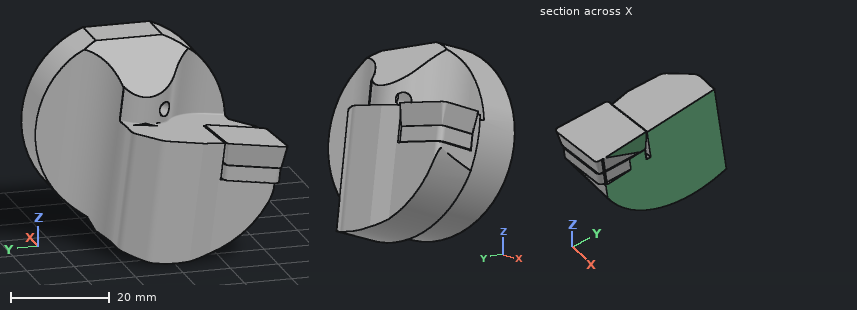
import cadquery as cq
import math

SEAT_TILT = 7.0
FAR = 56.4

DISC_RADIUS = 20.0
DISC_FACE_X = -10.1
FLAT_Z = 18.75
SLOPE_START_X = -9.2
LOBE_RADIUS = 23.15
LOBE_OFFSET_Y = -3.05
CONE_END_X = -12.7
HEAD_LENGTH = 32.9

BACK_Y = 4.2
BACK_FLUTE_RADIUS = 10.45
BEVEL_START = (-24.55, BACK_Y)
BEVEL_END = (-29.6, -1.15)
BEVEL_ROUND_RADIUS = 2.73
PEAK = (-30.45, -9.25)
WAIST = (-29.85, -13.55)
FRONT_CORNER = (-30.93, -25.47)
FRONT_CORNER_RADIUS = 0.95

SEAT_Z = 3.1
WALL_TIP_X = -19.0
WALL_NOSE_RADIUS = 7.0
WALL_NOSE_END_ANGLE = 135.0
WALL_HOLLOW_RADIUS = 10.15
WALL_HOLLOW_END_Y = -15.28
WALL_ROOT_RADIUS = 0.4

HOLE_DIAMETER = 3.0
HOLE_MOUTH = (-17.5, -4.4, 6.25)
HOLE_ANGLE = 58.0
HOLE_RISE = 10.0
HOLE_DEPTH = 8.0

INSERT_SIDE = 12.9
INSERT_ANGLE = 80.0
INSERT_LEAD = 5.0
INSERT_NOSE_RADIUS = 0.8
INSERT_NOSE_CENTRE = (-31.2, -26.0)
INSERT_TOP_Z = 3.4
INSERT_THICKNESS = 4.75
INSERT_RELIEF = 9.0
SHIM_THICKNESS = 3.2
SHIM_INSET = 0.5
SHIM_CORNER_RADIUS = 1.18

INSERT_BOTTOM_Z = INSERT_TOP_Z - INSERT_THICKNESS
POCKET_Z = INSERT_BOTTOM_Z - SHIM_THICKNESS


def tilted(work):
    """Turn a shape from the seat frame into the head's frame."""
    return work.rotate((0, 0, 0), (1, 0, 0), SEAT_TILT)


def polar(centre, radius, degrees):
    angle = math.radians(degrees)
    return (centre[0] + radius * math.cos(angle), centre[1] + radius * math.sin(angle))


def x_cylinder(radius, length, centre_y=0.0):
    return cq.Workplane("YZ").center(centre_y, 0).circle(radius).extrude(-length)


def slab_below(z):
    return cq.Workplane("XY").workplane(offset=z).rect(2 * FAR, 2 * FAR).extrude(-FAR)


def make_blank():
    """Disc joined to the offset lobe, which a coaxial cone blends into it."""
    cone = (
        cq.Workplane("XY")
        .moveTo(CONE_END_X, 0)
        .lineTo(CONE_END_X, DISC_RADIUS)
        .lineTo(-HEAD_LENGTH, DISC_RADIUS + HEAD_LENGTH + CONE_END_X)
        .lineTo(-HEAD_LENGTH, 0)
        .close()
        .revolve(360, (0, 0, 0), (1, 0, 0))
    )
    lobe = x_cylinder(LOBE_RADIUS, HEAD_LENGTH, LOBE_OFFSET_Y)
    lobe = lobe.intersect(cone).intersect(tilted(slab_below(SEAT_Z)))
    disc = x_cylinder(DISC_RADIUS, -WALL_TIP_X).cut(top_trim())
    return disc.union(lobe)


def head_outline():
    """Prism that gives the head its back flute, bevel and front walls."""
    flute_centre = (DISC_FACE_X - BACK_FLUTE_RADIUS, BACK_Y + BACK_FLUTE_RADIUS)
    front_rise = math.tan(math.radians(INSERT_LEAD)) * -FRONT_CORNER[0]
    prism = (
        cq.Workplane("XY")
        .workplane(offset=-FAR)
        .moveTo(0, FAR)
        .lineTo(DISC_FACE_X, FAR)
        .lineTo(DISC_FACE_X, flute_centre[1])
        .threePointArc(polar(flute_centre, BACK_FLUTE_RADIUS, -45), (flute_centre[0], BACK_Y))
        .lineTo(*BEVEL_START)
        .lineTo(*BEVEL_END)
        .lineTo(*PEAK)
        .lineTo(*WAIST)
        .lineTo(*FRONT_CORNER)
        .lineTo(0, FRONT_CORNER[1] + front_rise)
        .close()
        .extrude(2 * FAR)
    )

    def edge_at(point):
        return cq.selectors.NearestToPointSelector((point[0], point[1], 0))

    for corner in (BEVEL_START, BEVEL_END):
        prism = prism.edges("|Z").edges(edge_at(corner)).fillet(BEVEL_ROUND_RADIUS)
    prism = prism.edges("|Z").edges(edge_at(FRONT_CORNER)).fillet(FRONT_CORNER_RADIUS)
    return tilted(prism)


def chip_space():
    """Space over the seat face, in front of the S-shaped chip wall."""
    radii = WALL_NOSE_RADIUS + WALL_HOLLOW_RADIUS
    turn = math.degrees(math.acos(1 - (DISC_FACE_X - WALL_TIP_X) / radii))
    hollow = (DISC_FACE_X - WALL_HOLLOW_RADIUS, WALL_HOLLOW_END_Y)
    nose = polar(hollow, radii, turn)
    nose_end = polar(nose, WALL_NOSE_RADIUS, WALL_NOSE_END_ANGLE)
    return tilted(
        cq.Workplane("XY")
        .workplane(offset=SEAT_Z)
        .moveTo(-FAR, -FAR)
        .lineTo(DISC_FACE_X, -FAR)
        .lineTo(DISC_FACE_X, WALL_HOLLOW_END_Y)
        .threePointArc(
            polar(hollow, WALL_HOLLOW_RADIUS, turn / 2),
            polar(hollow, WALL_HOLLOW_RADIUS, turn),
        )
        .threePointArc(polar(nose, WALL_NOSE_RADIUS, 180), nose_end)
        .lineTo(-FAR, nose_end[1])
        .close()
        .extrude(FAR)
        .faces("<Z")
        .edges()
        .fillet(WALL_ROOT_RADIUS)
    )


def top_trim():
    """Everything over the top flat and the 45 degree slope."""
    return (
        cq.Workplane("XZ")
        .moveTo(FAR, FLAT_Z)
        .lineTo(SLOPE_START_X, FLAT_Z)
        .lineTo(SLOPE_START_X - FAR, FLAT_Z - FAR)
        .lineTo(SLOPE_START_X - FAR, FAR)
        .lineTo(FAR, FAR)
        .close()
        .extrude(FAR, both=True)
    )


def coolant_hole():
    """Blind hole that rises into the chip wall and aims at the cutting nose."""
    run = polar((0, 0), math.cos(math.radians(HOLE_RISE)), HOLE_ANGLE)
    direction = cq.Vector(run[0], run[1], math.sin(math.radians(HOLE_RISE)))
    mouth = cq.Vector(*HOLE_MOUTH)
    start = mouth - direction * HOLE_DIAMETER
    hole = cq.Solid.makeCylinder(HOLE_DIAMETER / 2, HOLE_DIAMETER + HOLE_DEPTH, start, direction)
    return tilted(cq.Workplane(hole))


def rhombus(z):
    """Sharp-cornered insert outline, starting from the cutting nose."""
    half_angle = INSERT_ANGLE / 2
    bisector = INSERT_LEAD + half_angle
    nose_reach = INSERT_NOSE_RADIUS / math.sin(math.radians(half_angle))
    nose = polar(INSERT_NOSE_CENTRE, -nose_reach, bisector)
    right = polar(nose, INSERT_SIDE, INSERT_LEAD)
    left = polar(nose, INSERT_SIDE, INSERT_LEAD + INSERT_ANGLE)
    far = polar(right, INSERT_SIDE, INSERT_LEAD + INSERT_ANGLE)
    return cq.Workplane("XY").workplane(offset=z).polyline([nose, right, far, left]).close()


def make_pocket():
    return tilted(rhombus(POCKET_Z).extrude(FAR))


def make_shim():
    shim = rhombus(POCKET_Z).offset2D(-SHIM_INSET).extrude(SHIM_THICKNESS)
    return tilted(shim.edges("|Z").fillet(SHIM_CORNER_RADIUS))


def make_insert():
    rounded = rhombus(0).extrude(-INSERT_THICKNESS).edges("|Z").fillet(INSERT_NOSE_RADIUS)
    top_wire = rounded.faces(">Z").wires()
    insert = top_wire.toPending().workplane().extrude(
        -INSERT_THICKNESS, combine=False, taper=INSERT_RELIEF
    )
    return tilted(insert.translate((0, 0, INSERT_TOP_Z)))


def make_holder():
    holder = make_blank().intersect(head_outline())
    holder = holder.cut(chip_space()).cut(coolant_hole())
    return holder.cut(make_pocket()).union(make_shim())


holder = make_holder()
insert = make_insert()
result = cq.Compound.makeCompound([holder.solids().val(), insert.solids().val()])